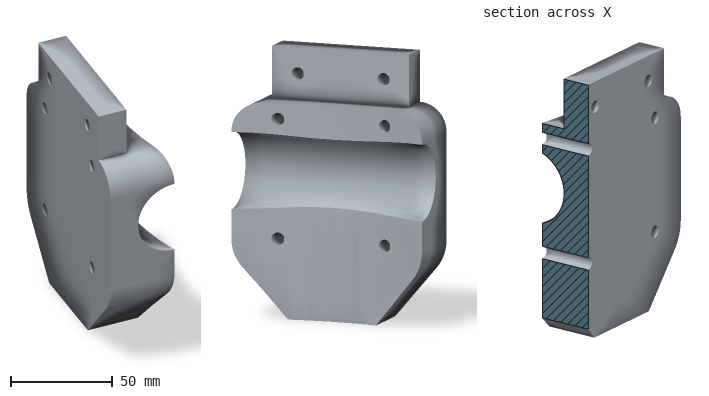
import cadquery as cq

height = 134.0
body_width = 100.0
body_depth = 34.6
tab_width = 72.0
tab_height = 26.0
tab_thickness = 15.0
bottom_width = 46.1
side_start = 31.8
lower_radius = 21.5
saddle_low_depth = 25.2
groove_radius = 19.3
groove_height = 74.0
hole_diameter = 6.3

hole_pairs = [(45.0, 120.9), (56.1, 100.0), (56.1, 40.2)]

half_width = body_width / 2
body_height = height - tab_height
upper_radius = (body_width - tab_width) / 2
saddle_rise = body_depth - saddle_low_depth
saddle_radius = (half_width**2 + saddle_rise**2) / (2 * saddle_rise)


def front_plane():
    """XZ plane of the flat front face; negative extrusion runs toward +Y."""
    return cq.Workplane(cq.Plane(origin=(0, 0, 0), xDir=(1, 0, 0), normal=(0, -1, 0)))


def make_body():
    """Tapered block with rounded upper and lower corners."""
    outline = [
        (-bottom_width / 2, 0),
        (bottom_width / 2, 0),
        (half_width, side_start),
        (half_width, body_height),
        (-half_width, body_height),
        (-half_width, side_start),
    ]
    body = front_plane().polyline(outline).close().extrude(-body_depth)
    body = body.edges("|Y and >Z").fillet(upper_radius)
    return body.edges("|Y").edges(">>Z[1]").fillet(lower_radius)


def make_tab():
    """Mounting tab rising from the flat front of the body."""
    return (
        cq.Workplane("XY", origin=(0, 0, body_height))
        .box(tab_width, tab_thickness, tab_height, centered=(True, False, False))
    )


def make_saddle():
    """Cylinder along Z that hollows the rear face."""
    return (
        cq.Workplane("XY")
        .center(0, saddle_low_depth + saddle_radius)
        .circle(saddle_radius)
        .extrude(height)
    )


def make_groove():
    """Cylinder along X that cuts a round channel across the rear face."""
    return (
        cq.Workplane("YZ")
        .center(tab_thickness + groove_radius, groove_height)
        .circle(groove_radius)
        .extrude(half_width, both=True)
    )


def make_holes():
    """Mounting holes through the full depth."""
    centers = [(side * spacing / 2, z) for spacing, z in hole_pairs for side in (-1, 1)]
    return front_plane().pushPoints(centers).circle(hole_diameter / 2).extrude(-body_depth)


body = make_body().cut(make_saddle()).cut(make_groove())
result = body.union(make_tab()).cut(make_holes())